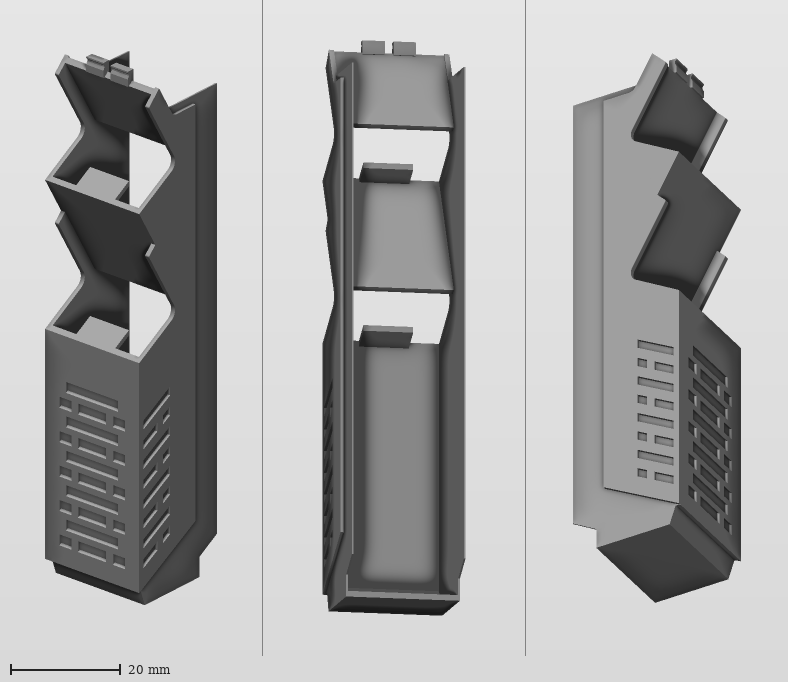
import cadquery as cq
import math


WIDTH = 22.5
DEPTH = 22.8
HEIGHT = 105.5
SKIN = 0.6
LINER = 0.3
PLATE = 1.1

TILT = math.radians(30)
STEEP = 1 / math.tan(TILT)
SHALLOW = math.tan(TILT)
NOTCH_Z = 50.0
NOTCH_PITCH = 30.2
NOTCH_RADIUS = 2.1
CHEEK_Y = 2.7
CHEEK_RISE = 20.5
CHEEK_RADIUS = 0.3
SLANT_THICK = 1.2
SLANT_DROP = 22.5
ARM_THICK = 1.5

COVER_BASE_Z = 3.5
COVER_REAR_Y = 15.9
COVER_REAR_Z = 12.2
COVER_TOP_Z = 96.5
COVER_RADIUS = 1.6
LINER_TOP_Z = 98.1
LINER_REAR_Z = 7.0

FOOT_TOP_Y = 1.1
FOOT_TOP_Z = 3.7
FOOT_FRONT_Y = 2.3
FOOT_REAR_Y = 17.8

TAB_WIDTH = 9.3
TAB_RISE = 2.8

HOOK_INNER_X = 0.8
HOOK_WIDTH = 4.1
HOOK_REAR_Y = 5.8
HOOK_FRONT_Y = 4.2
HOOK_STEP = 0.3

FRONT_SLOT_DEPTH = 0.5
FRONT_ROWS = 10
FRONT_TOP_Z = 40.8
FRONT_PITCH = 3.5
FRONT_SLOT_HEIGHT = 2.2
FRONT_LONG = [(-6.2, 6.2)]
FRONT_SPLIT = [(-7.8, -5.0), (-3.4, 3.4), (5.0, 7.8)]

SIDE_ROWS = 8
SIDE_PITCH = 4.0
SIDE_SLOT_HEIGHT = 1.8
SIDE_FRONT_Y = 1.2
SIDE_REAR_Y = 8.8
SIDE_REAR_Z = 42.1
SIDE_LONG = [(SIDE_FRONT_Y, SIDE_REAR_Y)]
SIDE_SPLIT = [(SIDE_FRONT_Y, 5.2), (6.8, SIDE_REAR_Y)]

inner_width = WIDTH - 2 * (SKIN + LINER)
liner_width = WIDTH - 2 * SKIN
upper_notch_z = NOTCH_Z + NOTCH_PITCH
top_ridge_z = upper_notch_z + NOTCH_PITCH
cover_slope = (COVER_REAR_Z - COVER_BASE_Z) / COVER_REAR_Y


def extrude_profile(points, start_x, end_x):
    """Extrude a (y, z) outline from one X position to another."""
    plane = cq.Workplane("YZ").workplane(offset=start_x)
    return plane.polyline(points).close().extrude(end_x - start_x)


def extrude_centred(points, width):
    return extrude_profile(points, -width / 2, width / 2)


def round_corner(wall, corner, radius):
    """Round the X-running edge of a wall at a (y, z) corner."""
    return wall.edges(cq.NearestToPointSelector((0, *corner))).fillet(radius)



def cheek_point(notch_z):
    return (CHEEK_Y, notch_z + CHEEK_RISE)


def notch_corner(notch_z):
    """Deepest corner of a notch, where its shallow and steep edges meet."""
    y = (STEEP * CHEEK_Y + CHEEK_RISE) / (STEEP + SHALLOW)
    return (y, notch_z + y * SHALLOW)


def bevel_point(notch_z, depth):
    """Point where the 45 degree cheek bevel meets a plane behind the slanted plate's face."""
    cheek_y, cheek_z = cheek_point(notch_z)
    ridge_z = notch_z + NOTCH_PITCH
    along = (ridge_z + depth / math.sin(TILT) - cheek_z - STEEP * cheek_y) / (1 + STEEP)
    return (cheek_y + along, cheek_z + along)


def slant_point(ridge_z, level, depth):
    """Point square behind a slanted plate's face point at the given level."""
    face_y = (ridge_z - level) / STEEP
    return (face_y + depth * math.cos(TILT), level + depth * math.sin(TILT))


arm_tip = bevel_point(upper_notch_z, ARM_THICK)


def arm_rear_point(level):
    """Point on the slanted rear edge of the side walls' top arms."""
    return (arm_tip[0] + (arm_tip[1] - level) / STEEP, level)



def side_wall_block(rear_points, width):
    """Solid block with the notched front outline, closed along the given rear points."""
    points = []
    for notch_z in (NOTCH_Z, upper_notch_z):
        points += [(0, notch_z), notch_corner(notch_z), cheek_point(notch_z)]
        points.append(bevel_point(notch_z, 0) if notch_z == NOTCH_Z else arm_tip)
    block = extrude_centred(points + rear_points, width)
    for notch_z in (NOTCH_Z, upper_notch_z):
        block = round_corner(block, notch_corner(notch_z), NOTCH_RADIUS)
        block = round_corner(block, cheek_point(notch_z), CHEEK_RADIUS)
    return block


def side_walls():
    cover_corner = arm_rear_point(COVER_TOP_Z)
    cover = side_wall_block(
        [
            cover_corner,
            (COVER_REAR_Y, COVER_TOP_Z),
            (COVER_REAR_Y, COVER_REAR_Z),
            (0, COVER_BASE_Z),
        ],
        WIDTH,
    )
    cover = round_corner(cover, cover_corner, COVER_RADIUS)
    liner = side_wall_block(
        [
            arm_rear_point(LINER_TOP_Z),
            (DEPTH, LINER_TOP_Z),
            (DEPTH, LINER_REAR_Z),
            (FOOT_REAR_Y, LINER_REAR_Z - (DEPTH - FOOT_REAR_Y) * SHALLOW),
            (FOOT_REAR_Y, 0),
            (FOOT_FRONT_Y, 0),
            (FOOT_TOP_Y, FOOT_TOP_Z),
            (0, COVER_BASE_Z),
        ],
        liner_width,
    )
    cavity = cq.Workplane("XY").box(inner_width, 3 * DEPTH, 3 * HEIGHT)
    return cover.union(liner).cut(cavity)



def front_panel_and_floor():
    """Front panel, sloped foot front and floor as one bent sheet."""
    return extrude_centred(
        [
            (0, COVER_BASE_Z),
            (0, NOTCH_Z),
            (PLATE, NOTCH_Z + PLATE * SHALLOW),
            (PLATE, FOOT_TOP_Z + PLATE),
            (FOOT_FRONT_Y + PLATE, PLATE),
            (FOOT_REAR_Y, PLATE),
            (FOOT_REAR_Y, 0),
            (FOOT_FRONT_Y, 0),
            (FOOT_TOP_Y, FOOT_TOP_Z),
        ],
        liner_width,
    )


def slanted_plate(ridge_z, top_front, top_rear):
    lower_z = ridge_z - SLANT_DROP
    return extrude_centred(
        [
            top_front,
            top_rear,
            slant_point(ridge_z, lower_z, SLANT_THICK),
            slant_point(ridge_z, lower_z, 0),
        ],
        liner_width,
    )


def tab(notch_z):
    """Tab rising rearward from the front edge of a notch."""
    reach = TAB_RISE / SHALLOW
    root_y = PLATE / 2
    return extrude_centred(
        [
            (0, notch_z),
            (reach, notch_z + TAB_RISE),
            (reach, notch_z + TAB_RISE - PLATE),
            (root_y, notch_z + root_y * SHALLOW - PLATE),
        ],
        TAB_WIDTH,
    )


def hook(inner_x):
    """Latch hook with a groove across its front."""
    groove_y = HOOK_FRONT_Y + HOOK_STEP
    plate_front = bevel_point(upper_notch_z, 0)
    plate_rear = bevel_point(upper_notch_z, SLANT_THICK)
    return extrude_profile(
        [
            (HOOK_REAR_Y, HEIGHT),
            (HOOK_FRONT_Y, HEIGHT),
            (HOOK_FRONT_Y, HEIGHT - HOOK_STEP),
            (groove_y, HEIGHT - 2 * HOOK_STEP),
            (groove_y, HEIGHT - 3 * HOOK_STEP),
            (HOOK_FRONT_Y, HEIGHT - 5 * HOOK_STEP),
            (HOOK_FRONT_Y, plate_front[1]),
            plate_front,
            (HOOK_REAR_Y, plate_rear[1] - HOOK_STEP),
        ],
        inner_x,
        inner_x + HOOK_WIDTH,
    )



def front_vents():
    """Blind slots in the front panel, rising inward."""
    slots = []
    inner_rise = FRONT_SLOT_DEPTH * SHALLOW
    for row in range(FRONT_ROWS):
        top = FRONT_TOP_Z - row * FRONT_PITCH
        bottom = top - FRONT_SLOT_HEIGHT
        profile = [
            (0, top),
            (FRONT_SLOT_DEPTH, top + inner_rise),
            (FRONT_SLOT_DEPTH, bottom + inner_rise),
            (0, bottom),
        ]
        for start, end in FRONT_SPLIT if row % 2 else FRONT_LONG:
            slots.append(extrude_profile(profile, start, end))
    return slots


def side_vents():
    """Slots through the cover on both sides, parallel to its lower edge."""
    slots = []
    for row in range(SIDE_ROWS):
        row_z = SIDE_REAR_Z - row * SIDE_PITCH
        for front, rear in SIDE_SPLIT if row % 2 else SIDE_LONG:
            front_top = row_z - (SIDE_REAR_Y - front) * cover_slope
            rear_top = row_z - (SIDE_REAR_Y - rear) * cover_slope
            profile = [
                (front, front_top),
                (rear, rear_top),
                (rear, rear_top - SIDE_SLOT_HEIGHT),
                (front, front_top - SIDE_SLOT_HEIGHT),
            ]
            slots.append(extrude_profile(profile, -WIDTH / 2, -liner_width / 2))
            slots.append(extrude_profile(profile, liner_width / 2, WIDTH / 2))
    return slots



body = side_walls().union(front_panel_and_floor())

lower_plate_rear = slant_point(upper_notch_z, upper_notch_z, SLANT_THICK)
body = body.union(slanted_plate(upper_notch_z, (0, upper_notch_z), lower_plate_rear))

top_plate_front = bevel_point(upper_notch_z, 0)
top_plate_rear = bevel_point(upper_notch_z, SLANT_THICK)
body = body.union(slanted_plate(top_ridge_z, top_plate_front, top_plate_rear))

for notch in (NOTCH_Z, upper_notch_z):
    body = body.union(tab(notch))

for hook_x in (HOOK_INNER_X, -HOOK_INNER_X - HOOK_WIDTH):
    body = body.union(hook(hook_x))

for slot in front_vents() + side_vents():
    body = body.cut(slot)

result = body